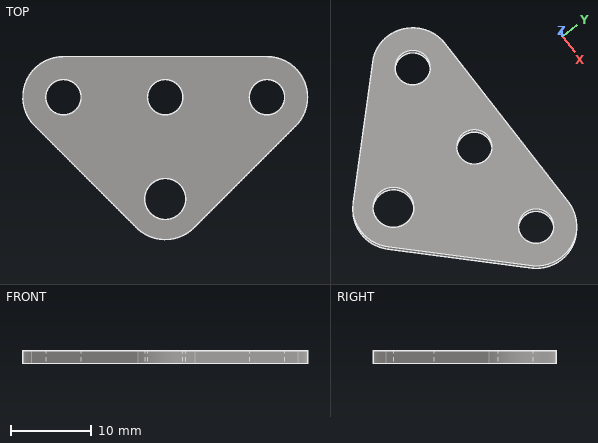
import cadquery as cq
import math

length = 35.55
thickness = 1.6
corner_radius = 5.1
row_hole_diameter = 4.37
apex_hole_diameter = 5.1

left_corner_angle = 38.6
left_apex_angle = 48.4
right_corner_angle = 40.7
right_apex_angle = 43.4

pitch = length / 2 - corner_radius
left_centre = (-pitch, 0)
middle_centre = (0, 0)
right_centre = (pitch, 0)
apex_centre = (0, -pitch)


def on_corner(centre, degrees):
    """Point on a corner arc, at an angle counterclockwise from +X."""
    angle = math.radians(degrees)
    return (
        centre[0] + corner_radius * math.cos(angle),
        centre[1] + corner_radius * math.sin(angle),
    )


def make_plate():
    """Triangular plate whose corner arcs are concentric with the holes."""
    return (
        cq.Workplane("XY")
        .moveTo(*on_corner(left_centre, 90))
        .lineTo(*on_corner(right_centre, 90))
        .threePointArc(on_corner(right_centre, 0), on_corner(right_centre, -right_corner_angle))
        .lineTo(*on_corner(apex_centre, -right_apex_angle))
        .threePointArc(on_corner(apex_centre, -90), on_corner(apex_centre, 180 + left_apex_angle))
        .lineTo(*on_corner(left_centre, 180 + left_corner_angle))
        .threePointArc(on_corner(left_centre, 180), on_corner(left_centre, 90))
        .close()
        .extrude(thickness)
    )


def drill(plate, centres, diameter):
    """Through holes of one diameter."""
    return plate.faces(">Z").workplane(origin=(0, 0, thickness)).pushPoints(centres).hole(diameter)


plate = make_plate()
plate = drill(plate, [left_centre, middle_centre, right_centre], row_hole_diameter)
result = drill(plate, [apex_centre], apex_hole_diameter)